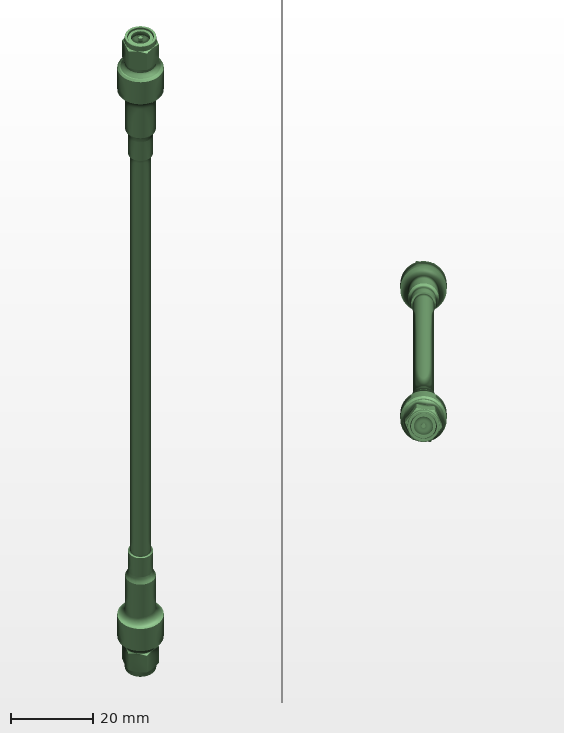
import cadquery as cq
import math

total_length = 201.8
half_length = total_length / 2

cable_diameter = 5.0

nut_across_flats = 7.9
nut_corner_diameter = nut_across_flats / math.cos(math.pi / 6)
nut_rim_diameter = 7.7
nut_bore_diameter = 6.5
nut_rim_chamfer = 0.1
hex_start_depth = 1.6
hex_end_depth = 7.5
nut_end_depth = 8.5
hex_chamfer_height = 0.3
hex_trim_diameter = 9.0

contact_sleeve_diameter = 6.0
contact_bore_diameter = 4.6
contact_start_depth = 0.5
contact_floor_depth = 1.6
pin_diameter = 0.95
neck_top_diameter = 7.5
shoulder_diameter = 9.7
collar_diameter = 11.3
collar_start_depth = 9.9
collar_end_depth = 17.0
collar_edge_diameter = 10.3
collar_edge_depth = 9.5
barrel_diameter = 7.5
barrel_start_depth = 19.0
barrel_end_depth = 29.5
ferrule_diameter = 6.0
ferrule_start_depth = 31.3
ferrule_end_depth = 37.3
cable_socket_depth = barrel_start_depth


def cylinder(diameter, start_depth, end_depth):
    """Cylinder on the Z axis between two depths below the upper end of the assembly."""
    length = end_depth - start_depth
    return cq.Workplane("XY").workplane(offset=half_length - end_depth).circle(diameter / 2).extrude(length)


def concave_arc_middle(slim, wide):
    """Middle of the arc that leaves the slim (radius, z) point along Z and ends at the wide point."""
    step = wide[0] - slim[0]
    rise = wide[1] - slim[1]
    arc_radius = (step**2 + rise**2) / (2 * step)
    half_angle = math.atan2(step, abs(rise))
    radius = slim[0] + arc_radius * (1 - math.cos(half_angle))
    z = slim[1] + math.copysign(arc_radius * math.sin(half_angle), rise)
    return radius, z


def make_cable():
    """Plain round cable whose ends sit in the sockets of the two connector bodies."""
    return cylinder(cable_diameter, cable_socket_depth, total_length - cable_socket_depth)


def make_nut():
    """Hexagonal nut with corners on the Y axis, chamfered at both ends of the hexagon."""
    hex_length = hex_end_depth - hex_start_depth
    hexagon = (
        cq.Workplane("XY")
        .workplane(offset=half_length - hex_end_depth)
        .transformed(rotate=(0, 0, 90))
        .polygon(6, nut_corner_diameter)
        .extrude(hex_length)
    )
    trim_radius = hex_trim_diameter / 2
    end_radius = nut_across_flats / 2
    hex_top = half_length - hex_start_depth
    hex_bottom = half_length - hex_end_depth
    chamfer_limit = (
        cq.Workplane("XZ")
        .moveTo(0, hex_bottom)
        .lineTo(end_radius, hex_bottom)
        .lineTo(trim_radius, hex_bottom + hex_chamfer_height)
        .lineTo(trim_radius, hex_top - hex_chamfer_height)
        .lineTo(end_radius, hex_top)
        .lineTo(0, hex_top)
        .close()
        .revolve()
    )
    rims = cylinder(nut_rim_diameter, 0, nut_end_depth).faces(">Z").chamfer(nut_rim_chamfer)
    bore = cylinder(nut_bore_diameter, 0, nut_end_depth)
    return hexagon.intersect(chamfer_limit).union(rims).cut(bore)


def make_body():
    """Connector body: contact sleeve and pin, collar, barrel and cable ferrule."""

    def point(diameter, depth):
        return diameter / 2, half_length - depth

    collar_lower_edge = point(collar_diameter, collar_end_depth)
    barrel_top = point(barrel_diameter, barrel_start_depth)
    barrel_bottom = point(barrel_diameter, barrel_end_depth)
    ferrule_top = point(ferrule_diameter, ferrule_start_depth)
    profile = (
        cq.Workplane("XZ")
        .moveTo(*point(0, contact_start_depth))
        .lineTo(*point(contact_sleeve_diameter, contact_start_depth))
        .lineTo(*point(contact_sleeve_diameter, nut_end_depth))
        .lineTo(*point(neck_top_diameter, nut_end_depth))
        .lineTo(*point(shoulder_diameter, collar_edge_depth))
        .lineTo(*point(collar_edge_diameter, collar_edge_depth))
        .lineTo(*point(collar_diameter, collar_start_depth))
        .lineTo(*collar_lower_edge)
        .threePointArc(concave_arc_middle(barrel_top, collar_lower_edge), barrel_top)
        .lineTo(*barrel_bottom)
        .threePointArc(concave_arc_middle(ferrule_top, barrel_bottom), ferrule_top)
        .lineTo(*point(ferrule_diameter, ferrule_end_depth))
        .lineTo(*point(0, ferrule_end_depth))
        .close()
    )
    contact_bore = cylinder(contact_bore_diameter, contact_start_depth, contact_floor_depth)
    pin = cylinder(pin_diameter, contact_start_depth, contact_floor_depth)
    cable_socket = cylinder(cable_diameter, cable_socket_depth, ferrule_end_depth)
    return profile.revolve().cut(contact_bore).union(pin).cut(cable_socket)


cable = make_cable()
nuts = []
bodies = []
for turn in (0, 180):
    nuts.append(make_nut().rotate((0, 0, 0), (1, 0, 0), turn).val())
    bodies.append(make_body().rotate((0, 0, 0), (1, 0, 0), turn).val())

result = cq.Compound.makeCompound([cable.val(), *nuts, *bodies])